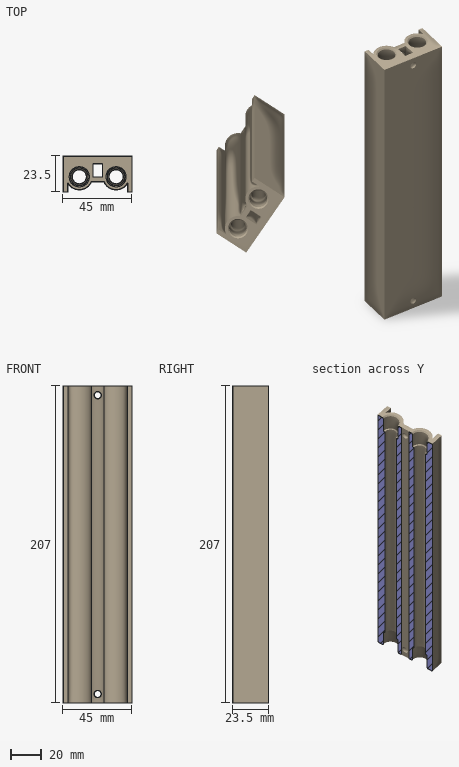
import cadquery as cq

WIDTH = 45.0
DEPTH = 23.5
LENGTH = 207.0

LEG_THICKNESS = 3.0
BORE_OFFSET = 12.0
BORE_TO_BACK = 13.5
LOBE_RADIUS = 8.55
WEB_TO_BACK = 16.8

CHANNEL_WIDTH = 6.0
CHANNEL_BACK = 5.0
CHANNEL_FRONT = 13.5

BORE_DIAMETER = 9.16
PORT_DIAMETER = 11.45
PORT_MOUTH_DIAMETER = 13.16
PORT_DEPTH = 12.0
PORT_CHAMFER = (PORT_MOUTH_DIAMETER - PORT_DIAMETER) / 2

MOUNT_DIAMETER = 4.5
MOUNT_END_DISTANCE = 6.0

BACK_Y = DEPTH / 2
BORE_Y = BACK_Y - BORE_TO_BACK
WEB_Y = BACK_Y - WEB_TO_BACK
BORE_CENTRES = [(-BORE_OFFSET, BORE_Y), (BORE_OFFSET, BORE_Y)]


def box_between(x_min, x_max, y_min, y_max):
    """Full-length bar with the given rectangular section."""
    return (
        cq.Workplane("XY")
        .center((x_min + x_max) / 2, (y_min + y_max) / 2)
        .rect(x_max - x_min, y_max - y_min)
        .extrude(LENGTH)
    )


def make_body():
    """Bar whose front recess, between the legs, leaves the lobes standing."""
    half_width = WIDTH / 2
    recess_half_width = half_width - LEG_THICKNESS
    block = box_between(-half_width, half_width, -DEPTH / 2, BACK_Y)
    recess = box_between(-recess_half_width, recess_half_width, -DEPTH / 2, WEB_Y)
    lobes = cq.Workplane("XY").pushPoints(BORE_CENTRES).circle(LOBE_RADIUS).extrude(LENGTH)
    return block.cut(recess.cut(lobes))


def make_channel():
    """Rectangular channel running the whole length."""
    return box_between(-CHANNEL_WIDTH / 2, CHANNEL_WIDTH / 2, BACK_Y - CHANNEL_FRONT, BACK_Y - CHANNEL_BACK)


def make_bore(x, y):
    """Through bore with a chamfered port at both ends, as a revolved tool."""
    bore_radius = BORE_DIAMETER / 2
    port_radius = PORT_DIAMETER / 2
    mouth_radius = PORT_MOUTH_DIAMETER / 2
    return (
        cq.Workplane("XZ")
        .moveTo(0, 0)
        .lineTo(mouth_radius, 0)
        .lineTo(port_radius, PORT_CHAMFER)
        .lineTo(port_radius, PORT_DEPTH)
        .lineTo(bore_radius, PORT_DEPTH)
        .lineTo(bore_radius, LENGTH - PORT_DEPTH)
        .lineTo(port_radius, LENGTH - PORT_DEPTH)
        .lineTo(port_radius, LENGTH - PORT_CHAMFER)
        .lineTo(mouth_radius, LENGTH)
        .lineTo(0, LENGTH)
        .close()
        .revolve(360, (0, 0), (0, 1))
        .translate((x, y, 0))
    )


def make_mount_holes():
    """Round holes through the full depth on the mid-plane, one near each end."""
    heights = [MOUNT_END_DISTANCE, LENGTH - MOUNT_END_DISTANCE]
    return (
        cq.Workplane("XZ", origin=(0, BACK_Y, 0))
        .pushPoints([(0, height) for height in heights])
        .circle(MOUNT_DIAMETER / 2)
        .extrude(DEPTH)
    )


result = make_body().cut(make_channel()).cut(make_mount_holes())
for bore_x, bore_y in BORE_CENTRES:
    result = result.cut(make_bore(bore_x, bore_y))